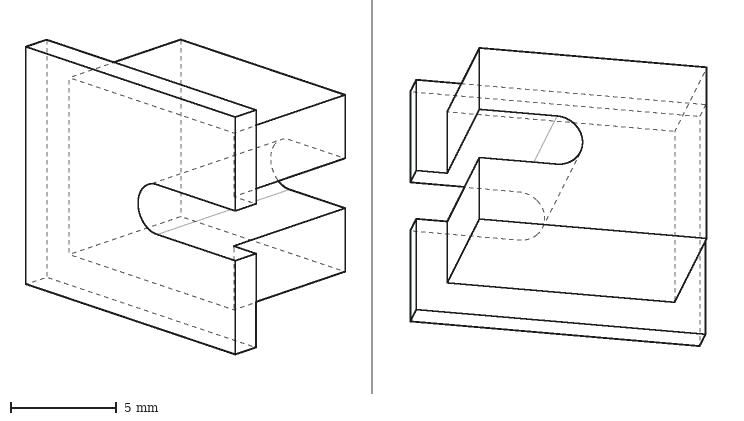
import cadquery as cq

flange_width = 14.0
flange_height = 11.95
flange_thickness = 1.4

body_width = 11.0
body_height = 8.9
total_depth = 8.9
body_depth = total_depth - flange_thickness

slot_width = 2.5
slot_length = 6.5
slot_radius = slot_width / 2
slot_centre_x = flange_width / 2 - slot_length + slot_radius


def block(width, depth, height, front_y):
    """Box centred on X and Z that extends toward +Y from front_y."""
    return (
        cq.Workplane("XY")
        .box(width, depth, height, centered=(True, False, True))
        .translate((0, front_y, 0))
    )


flange = block(flange_width, flange_thickness, flange_height, 0)
body = block(body_width, body_depth, body_height, flange_thickness)

slot = (
    cq.Workplane("XZ")
    .moveTo(flange_width / 2, slot_radius)
    .lineTo(slot_centre_x, slot_radius)
    .threePointArc((slot_centre_x - slot_radius, 0), (slot_centre_x, -slot_radius))
    .lineTo(flange_width / 2, -slot_radius)
    .close()
    .extrude(-total_depth)
)

result = flange.union(body).cut(slot)